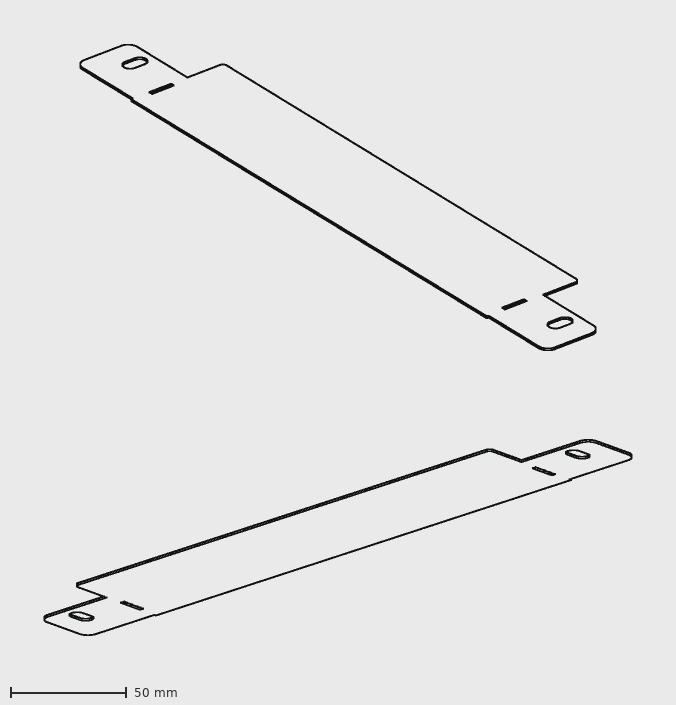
import cadquery as cq

length = 327.0
depth = 51.0
thickness = 1.0

panel_length = 247.2
panel_corner_radius = 2.0

ear_depth = 30.0
ear_front_step = 1.0
ear_corner_radius = 5.0

mount_slot_width = 7.0
mount_slot_length = 12.0
mount_slot_end_distance = 15.7
mount_slot_y = 21.3

narrow_slot_width = 2.0
narrow_slot_length = 12.0
narrow_slot_y = ear_front_step + ear_depth / 2


def plate(size_x, size_y, front_y):
    """Flat plate centred on X with its front edge at front_y."""
    return (
        cq.Workplane("XY")
        .center(0, front_y + size_y / 2)
        .rect(size_x, size_y)
        .extrude(thickness)
    )


def mirrored_points(x, y):
    return [(-x, y), (x, y)]


panel = plate(panel_length, depth, 0).edges("|Z and >Y").fillet(panel_corner_radius)
ears = plate(length, ear_depth, ear_front_step).edges("|Z").fillet(ear_corner_radius)
body = panel.union(ears)

mount_slot_x = length / 2 - mount_slot_end_distance
mount_slots = (
    cq.Workplane("XY")
    .pushPoints(mirrored_points(mount_slot_x, mount_slot_y))
    .slot2D(mount_slot_length, mount_slot_width, 90)
    .extrude(thickness)
)

narrow_slot_x = (panel_length - narrow_slot_width) / 2
narrow_slots = (
    cq.Workplane("XY")
    .pushPoints(mirrored_points(narrow_slot_x, narrow_slot_y))
    .rect(narrow_slot_width, narrow_slot_length)
    .extrude(thickness)
)

result = body.cut(mount_slots).cut(narrow_slots)